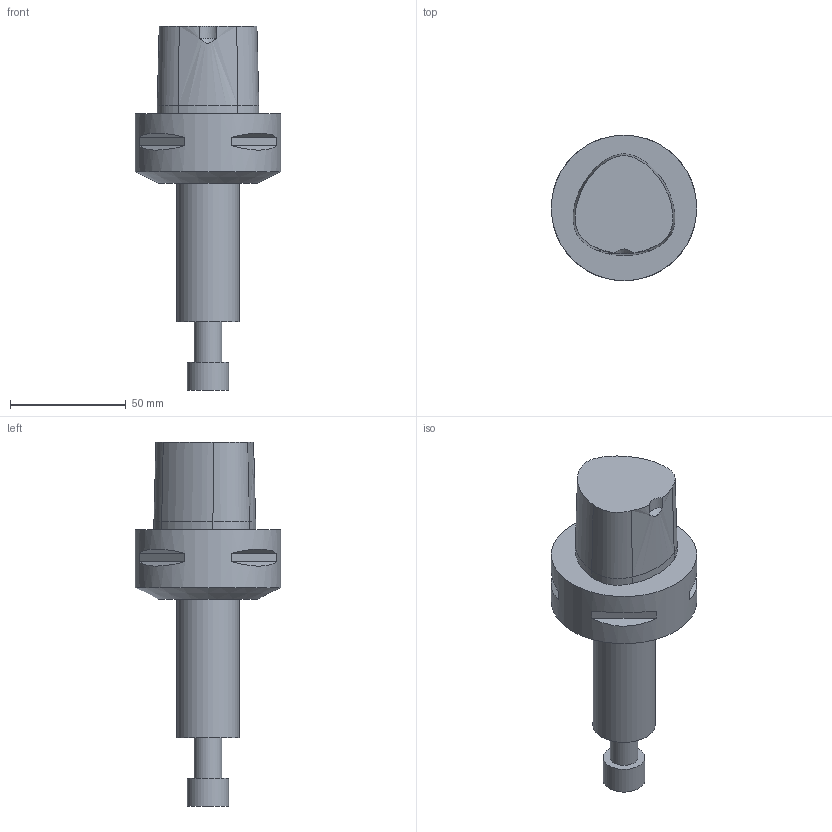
import cadquery as cq
import math

shank_height = 38.0
shank_width = 44.0
lobe_amplitude = 1.4
collar_height = 3.5
taper_ratio = 1 / 20
lobe_count = 3
first_lobe_angle = 90.0
lobe_half_angle = 35.0
points_per_face = 9

notch_diameter = 10.0
notch_axis_y = -22.8
notch_wall_height = 5.3

flange_diameter = 63.0
flange_rim_height = 25.0
flange_height = 30.0
flange_bottom_diameter = 43.0

slot_count = 4
first_slot_angle = 45.0
slot_length = 28.0
slot_center_z = -12.0
slot_bottom_height = 3.6
slot_flank_angle = 30.0

shaft_diameter = 27.0
shaft_length = 60.0
neck_diameter = 12.0
neck_length = 17.5
head_diameter = 18.0
head_length = 12.0


def trilobe_point(width, normal_angle):
    """Point of the trilobe whose outward normal points along normal_angle (degrees)."""
    angle = math.radians(normal_angle)
    phase = lobe_count * math.radians(normal_angle - first_lobe_angle)
    support = width / 2 + lobe_amplitude * math.cos(phase)
    slope = -lobe_count * lobe_amplitude * math.sin(phase)
    x = support * math.cos(angle) - slope * math.sin(angle)
    y = support * math.sin(angle) + slope * math.cos(angle)
    return cq.Vector(x, y, 0)


def trilobe_edge(width, start_angle, end_angle):
    """Smooth edge of the trilobe between two normal directions."""
    step = (end_angle - start_angle) / (points_per_face - 1)
    points = [trilobe_point(width, start_angle + i * step) for i in range(points_per_face)]
    tangents = []
    for normal_angle in (start_angle, end_angle):
        angle = math.radians(normal_angle)
        tangents.append(cq.Vector(-math.sin(angle), math.cos(angle), 0))
    return cq.Edge.makeSpline(points, tangents=tangents)


def trilobe_wire(width, z):
    """Closed trilobe outline at height z, one edge per lobe and per flank."""
    pitch = 360 / lobe_count
    edges = []
    for i in range(lobe_count):
        lobe_angle = first_lobe_angle + i * pitch
        lobe_start = lobe_angle - lobe_half_angle
        lobe_end = lobe_angle + lobe_half_angle
        edges.append(trilobe_edge(width, lobe_start, lobe_end))
        edges.append(trilobe_edge(width, lobe_end, lobe_start + pitch))
    return cq.Wire.assembleEdges(edges).translate(cq.Vector(0, 0, z))


def make_shank():
    top_width = shank_width - taper_ratio * (shank_height - collar_height)
    foot = trilobe_wire(shank_width, 0)
    collar = trilobe_wire(shank_width, collar_height)
    top = trilobe_wire(top_width, shank_height)
    straight = cq.Solid.makeLoft([foot, collar], True)
    tapered = cq.Solid.makeLoft([collar, top], True)
    return cq.Workplane(obj=straight).union(cq.Workplane(obj=tapered))


def make_notch_cutter():
    radius = notch_diameter / 2
    wall_bottom = shank_height - notch_wall_height
    half_section = [
        (0, shank_height),
        (radius, shank_height),
        (radius, wall_bottom),
        (0, wall_bottom - radius),
    ]
    cutter = cq.Workplane("XZ").polyline(half_section).close().revolve(360, (0, 0), (0, 1))
    return cutter.translate((0, notch_axis_y, 0))


def make_turned_body():
    """Flange, shaft, neck and head as one revolved profile hanging below Z = 0."""
    shaft_end = -flange_height - shaft_length
    neck_end = shaft_end - neck_length
    head_end = neck_end - head_length
    profile = [
        (0, 0),
        (flange_diameter / 2, 0),
        (flange_diameter / 2, -flange_rim_height),
        (flange_bottom_diameter / 2, -flange_height),
        (shaft_diameter / 2, -flange_height),
        (shaft_diameter / 2, shaft_end),
        (neck_diameter / 2, shaft_end),
        (neck_diameter / 2, neck_end),
        (head_diameter / 2, neck_end),
        (head_diameter / 2, head_end),
        (0, head_end),
    ]
    return cq.Workplane("XZ").polyline(profile).close().revolve(360, (0, 0), (0, 1))


def make_slot_cutter(direction):
    """Trapezoidal bar across the flange edge, facing the given direction (degrees)."""
    outer_radius = flange_diameter / 2
    bottom_distance = math.sqrt(outer_radius**2 - (slot_length / 2) ** 2)
    depth = outer_radius - bottom_distance
    half_bottom = slot_bottom_height / 2
    half_mouth = half_bottom + depth * math.tan(math.radians(slot_flank_angle))
    section = [
        (bottom_distance, slot_center_z - half_bottom),
        (outer_radius, slot_center_z - half_mouth),
        (outer_radius, slot_center_z + half_mouth),
        (bottom_distance, slot_center_z + half_bottom),
    ]
    bar = cq.Workplane("XZ").polyline(section).close().extrude(slot_length / 2, both=True)
    return bar.rotate((0, 0, 0), (0, 0, 1), direction)


result = make_turned_body().union(make_shank())
result = result.cut(make_notch_cutter())
for slot_index in range(slot_count):
    slot_direction = first_slot_angle + slot_index * 360 / slot_count
    result = result.cut(make_slot_cutter(slot_direction))